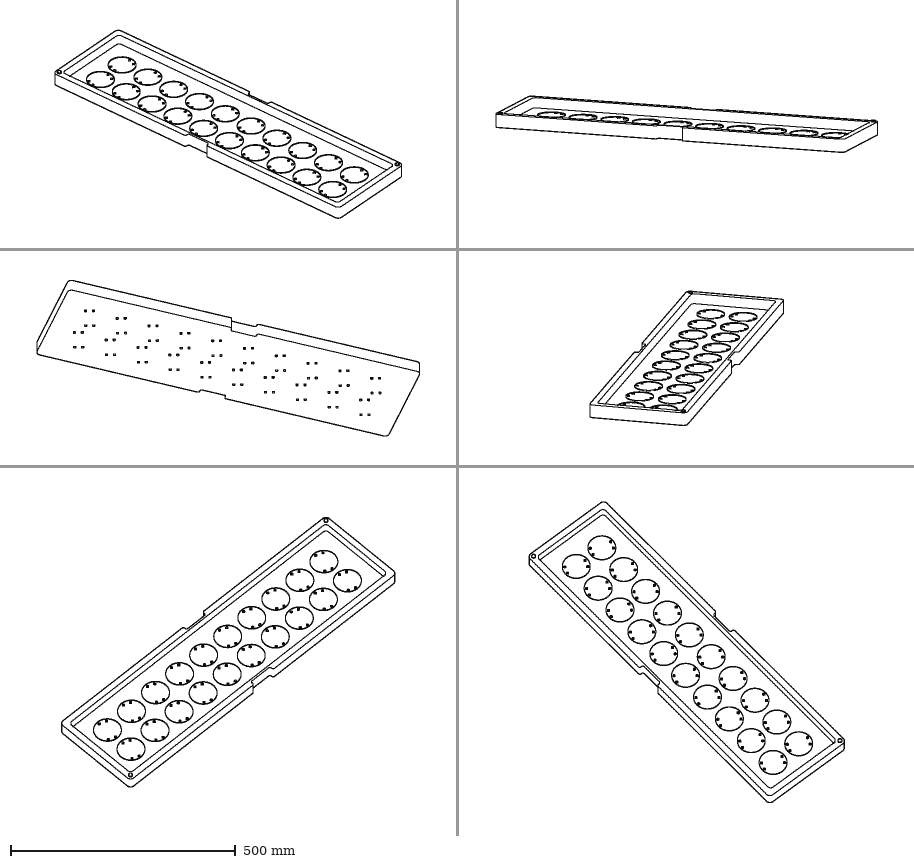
import cadquery as cq
import math

LENGTH = 830.0
WIDTH = 225.0
RIM_HEIGHT = 30.0
CORNER_RADIUS = 10.0

WALL_THICKNESS = 15.0
FLOOR_THICKNESS = 7.0
POCKET_RADIUS = 8.0

NOTCH_LENGTH = 60.0
NOTCH_DEPTH = 10.0
NOTCH_RADIUS = 4.0

PIN_DIAMETER = 9.0
PIN_HEIGHT = 2.5
PIN_INSET = 10.0

COLUMNS = 10
ROWS = 2
SEAT_ROW_LENGTH = 675.0
SEAT_PITCH = SEAT_ROW_LENGTH / (COLUMNS - 1)
SEAT_CENTER_X = -2.5
SEAT_DIAMETER = 62.0
SEAT_DEPTH = 2.0

HOLE_DIAMETER = 5.0
HOLE_CIRCLE_RADIUS = 26.0
HOLE_ANGLES = (50, 90, 230, 270)


def tray_body():
    body = cq.Workplane("XY").box(LENGTH, WIDTH, RIM_HEIGHT, centered=(True, True, False))
    return body.edges("|Z").fillet(CORNER_RADIUS)


def cut_grip_notches(body):
    """Cut both full-height notches and round their mouth and root corners."""
    notches = (
        cq.Workplane("XY")
        .pushPoints([(0, -WIDTH / 2), (0, WIDTH / 2)])
        .rect(NOTCH_LENGTH, 2 * NOTCH_DEPTH)
        .extrude(RIM_HEIGHT)
    )
    middle = cq.selectors.BoxSelector((-NOTCH_LENGTH, -WIDTH, 0), (NOTCH_LENGTH, WIDTH, RIM_HEIGHT))
    return body.cut(notches).edges("|Z").edges(middle).fillet(NOTCH_RADIUS)


def main_pocket():
    pocket = (
        cq.Workplane("XY")
        .workplane(offset=FLOOR_THICKNESS)
        .rect(LENGTH - 2 * WALL_THICKNESS, WIDTH - 2 * WALL_THICKNESS)
        .extrude(RIM_HEIGHT - FLOOR_THICKNESS)
    )
    return pocket.edges("|Z").fillet(POCKET_RADIUS)


def locating_pins():
    pin_x = LENGTH / 2 - PIN_INSET
    pin_y = WIDTH / 2 - PIN_INSET
    return (
        cq.Workplane("XY")
        .workplane(offset=RIM_HEIGHT)
        .pushPoints([(-pin_x, -pin_y), (pin_x, pin_y)])
        .circle(PIN_DIAMETER / 2)
        .extrude(PIN_HEIGHT)
    )


def seats():
    return (
        cq.Workplane("XY")
        .workplane(offset=FLOOR_THICKNESS - SEAT_DEPTH)
        .center(SEAT_CENTER_X, 0)
        .rarray(SEAT_PITCH, SEAT_PITCH, COLUMNS, ROWS)
        .circle(SEAT_DIAMETER / 2)
        .extrude(SEAT_DEPTH)
    )


def seat_holes(angle):
    """One hole per seat, placed at the given angle on the hole circle."""
    hole_x = HOLE_CIRCLE_RADIUS * math.cos(math.radians(angle))
    hole_y = HOLE_CIRCLE_RADIUS * math.sin(math.radians(angle))
    return (
        cq.Workplane("XY")
        .center(SEAT_CENTER_X + hole_x, hole_y)
        .rarray(SEAT_PITCH, SEAT_PITCH, COLUMNS, ROWS)
        .circle(HOLE_DIAMETER / 2)
        .extrude(FLOOR_THICKNESS)
    )


result = cut_grip_notches(tray_body()).cut(main_pocket())
result = result.union(locating_pins()).cut(seats())
for angle in HOLE_ANGLES:
    result = result.cut(seat_holes(angle))